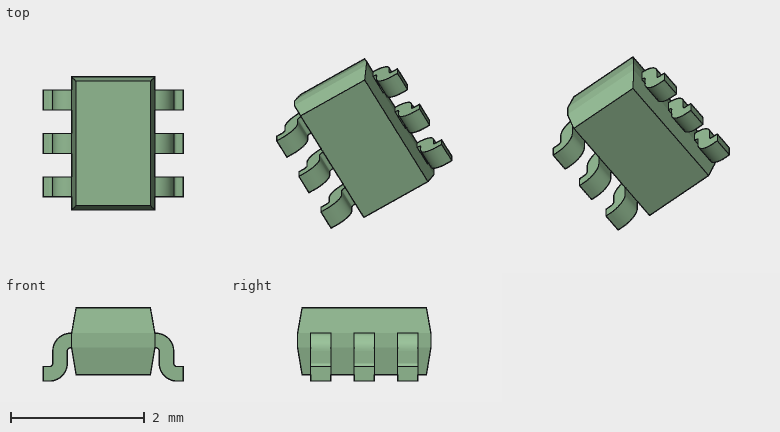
import cadquery as cq

span_x = 2.1
body_x = 1.25
body_y = 2.0
height = 1.1
standoff = 0.097
face_inset = 0.067

lead_thickness = 0.22
lead_width = 0.3
lead_pitch = 0.65
leads_per_side = 3
foot_flat = 0.092
inner_radius = 0.05
outer_radius = inner_radius + lead_thickness

band_bottom = 0.5
band_top = band_bottom + lead_thickness


def tapered_half(band_z, face_z):
    """Body half narrowing from the middle band to its flat outer face."""
    return (
        cq.Workplane("XY", origin=(0, 0, band_z))
        .rect(body_x, body_y)
        .workplane(offset=face_z - band_z)
        .rect(body_x - 2 * face_inset, body_y - 2 * face_inset)
        .loft(ruled=True, combine=True)
    )


def make_body():
    band = cq.Workplane("XY", origin=(0, 0, band_bottom)).rect(body_x, body_y).extrude(lead_thickness)
    upper = tapered_half(band_top, height)
    lower = tapered_half(band_bottom, standoff)
    return band.union(upper).union(lower)


def make_lead(y_center):
    """Gull-wing lead on the -X side."""
    toe_x = -span_x / 2
    foot_bend_x = toe_x + foot_flat
    shoulder_bend_x = foot_bend_x + inner_radius + outer_radius
    foot_bend_z = outer_radius
    shoulder_bend_z = band_top - outer_radius
    root_x = -body_x / 2 + face_inset
    diagonal = 0.5 ** 0.5
    inner_reach = inner_radius * diagonal
    outer_reach = outer_radius * diagonal
    profile = (
        cq.Workplane("XZ", origin=(0, y_center, 0))
        .moveTo(toe_x, 0)
        .lineTo(foot_bend_x, 0)
        .threePointArc(
            (foot_bend_x + outer_reach, foot_bend_z - outer_reach),
            (foot_bend_x + outer_radius, foot_bend_z),
        )
        .lineTo(foot_bend_x + outer_radius, shoulder_bend_z)
        .threePointArc(
            (shoulder_bend_x - inner_reach, shoulder_bend_z + inner_reach),
            (shoulder_bend_x, band_bottom),
        )
        .lineTo(root_x, band_bottom)
        .lineTo(root_x, band_top)
        .lineTo(shoulder_bend_x, band_top)
        .threePointArc(
            (shoulder_bend_x - outer_reach, shoulder_bend_z + outer_reach),
            (shoulder_bend_x - outer_radius, shoulder_bend_z),
        )
        .lineTo(foot_bend_x + inner_radius, foot_bend_z)
        .threePointArc(
            (foot_bend_x + inner_reach, foot_bend_z - inner_reach),
            (foot_bend_x, lead_thickness),
        )
        .lineTo(toe_x, lead_thickness)
        .close()
    )
    return profile.extrude(lead_width / 2, both=True)


result = make_body()
for index in range(leads_per_side):
    y_center = (index - (leads_per_side - 1) / 2) * lead_pitch
    lead = make_lead(y_center)
    result = result.union(lead).union(lead.mirror("YZ"))